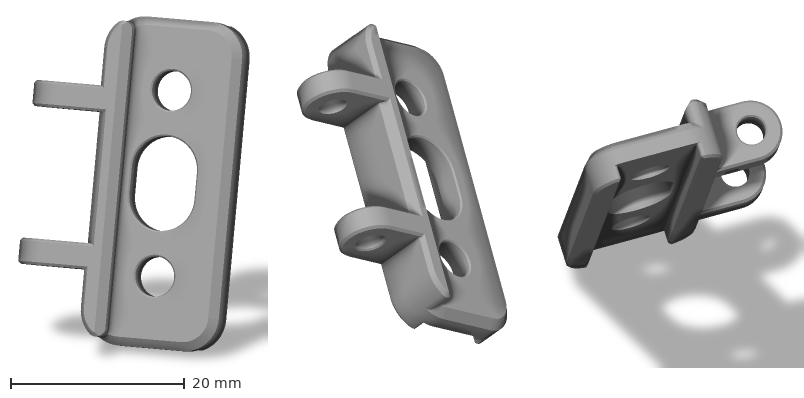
import cadquery as cq
import math

tilt_angle = 19.4

body_width = 15.7
body_length = 38.08
body_depth = 7.25
corner_radius = 4.0

rail_height = 2.6
plate_thickness = 2.78
front_y = -body_depth / 2
plate_front_y = front_y + rail_height
plate_back_y = plate_front_y + plate_thickness
back_y = body_depth / 2

rib_width = 3.0
rail_end_radius = 1.0
wall_end_radius = 0.4

large_chamfer = 1.0
rail_chamfer = large_chamfer / 2
edge_chamfer = 0.3
rim_chamfer = 0.2

lug_spacing = 18.25
lug_thickness = 3.0
lug_radius = body_depth / 2
lug_reach = 5.0
pin_diameter = 3.35

hole_diameter = 4.65
hole_spacing = 21.5
slot_width = 7.8
slot_length = 10.95


def prism(outline, y_start, y_end):
    """Extrude an XZ outline from y_start to y_end."""
    return outline.extrude(y_start - y_end).translate((0, y_start, 0))


def rib_outline(end_radius):
    """Left strip of the rounded body outline, with its inner corners rounded."""
    corner_z = body_length / 2 - corner_radius
    end_x = rib_width - end_radius
    offset_x = corner_radius - end_x
    centre_distance = corner_radius - end_radius
    end_z = corner_z + math.sqrt(centre_distance**2 - offset_x**2)
    angle = math.atan2(end_z - corner_z, -offset_x)

    def on_corner(a):
        return (corner_radius + corner_radius * math.cos(a), corner_z + corner_radius * math.sin(a))

    def on_end(a):
        return (end_x + end_radius * math.cos(a), end_z + end_radius * math.sin(a))

    def mirrored(point):
        return (point[0], -point[1])

    tangent_point = on_corner(angle)
    corner_middle = on_corner((angle + math.pi) / 2)
    end_middle = on_end(angle / 2)
    return (
        cq.Workplane("XZ")
        .moveTo(0, -corner_z)
        .lineTo(0, corner_z)
        .threePointArc(corner_middle, tangent_point)
        .threePointArc(end_middle, (rib_width, end_z))
        .lineTo(rib_width, -end_z)
        .threePointArc(mirrored(end_middle), mirrored(tangent_point))
        .threePointArc(mirrored(corner_middle), (0, -corner_z))
        .close()
    )


def make_plate():
    outline = cq.Workplane("XZ").center(body_width / 2, 0).rect(body_width, body_length)
    plate = prism(outline, plate_front_y, plate_back_y).edges("|Y").fillet(corner_radius)
    return plate.faces("<Y").chamfer(large_chamfer)


def edge_wedge(x, x_direction, length, size):
    """Triangular cutter that bevels a front edge running along Z at the given X."""
    return (
        cq.Workplane("XY")
        .moveTo(x, front_y)
        .lineTo(x + x_direction * size, front_y)
        .lineTo(x, front_y + size)
        .close()
        .extrude(length / 2, both=True)
    )


def make_rail():
    rail = prism(rib_outline(rail_end_radius), front_y, plate_back_y)
    outer_edge = cq.selectors.BoxSelector(
        (-rail_chamfer, front_y - rail_chamfer, -body_length / 2),
        (rib_width - rail_end_radius, front_y + rail_chamfer, body_length / 2),
    )
    rail = rail.edges(outer_edge).chamfer(rail_chamfer)
    rail = rail.cut(edge_wedge(rib_width, -1, body_length, large_chamfer))
    bevel_length = lug_spacing - lug_thickness + 2 * edge_chamfer
    return rail.cut(edge_wedge(0, 1, bevel_length, large_chamfer))


def make_walls():
    left = prism(rib_outline(wall_end_radius), plate_front_y + large_chamfer, back_y)
    left = left.faces(">Y").chamfer(edge_chamfer)
    return left.union(left.mirror("YZ").translate((body_width, 0, 0)))


def make_lug(outer_side):
    """Lug on the +Z (outer_side = 1) or -Z (outer_side = -1) half of the body."""
    lug = (
        cq.Workplane("XY")
        .moveTo(large_chamfer, -lug_radius)
        .lineTo(-lug_reach, -lug_radius)
        .threePointArc((-lug_reach - lug_radius, 0), (-lug_reach, lug_radius))
        .lineTo(large_chamfer, lug_radius)
        .close()
        .extrude(lug_thickness / 2, both=True)
        .edges("(>Z or <Z) and (not >X)")
        .chamfer(edge_chamfer)
    )
    pin_hole = (
        cq.Workplane("XY")
        .circle(pin_diameter / 2)
        .extrude(lug_thickness / 2, both=True)
    )
    pin_rim = cq.Workplane("XY").add(
        cq.Solid.makeCone(
            pin_diameter / 2 + rim_chamfer,
            pin_diameter / 2,
            rim_chamfer,
            cq.Vector(0, 0, outer_side * lug_thickness / 2),
            cq.Vector(0, 0, -outer_side),
        )
    )
    lug = lug.cut(pin_hole.union(pin_rim).translate((-lug_reach, 0, 0)))
    return lug.translate((0, 0, outer_side * lug_spacing / 2))


def cut_openings(plate):
    """Cut the round holes and the central slot, then bevel their front rims."""
    holes = (
        cq.Workplane("XZ")
        .pushPoints([(body_width / 2, z) for z in (-hole_spacing / 2, hole_spacing / 2)])
        .circle(hole_diameter / 2)
    )
    slot = cq.Workplane("XZ").center(body_width / 2, 0).slot2D(slot_length, slot_width, 90)
    for outline in (holes, slot):
        plate = plate.cut(prism(outline, plate_front_y, plate_back_y))
    rim_reach = hole_spacing / 2 + hole_diameter / 2
    rims = cq.selectors.BoxSelector(
        (body_width / 2 - slot_width / 2 - rim_chamfer, plate_front_y - rim_chamfer, -rim_reach - rim_chamfer),
        (body_width / 2 + slot_width / 2 + rim_chamfer, plate_front_y + rim_chamfer, rim_reach + rim_chamfer),
        boundingbox=True,
    )
    return plate.edges(rims).chamfer(rim_chamfer)


bracket = cut_openings(make_plate()).union(make_rail()).union(make_walls())
for side in (1, -1):
    bracket = bracket.union(make_lug(side))

result = bracket.rotate((0, 0, 0), (1, 0, 0), -tilt_angle)